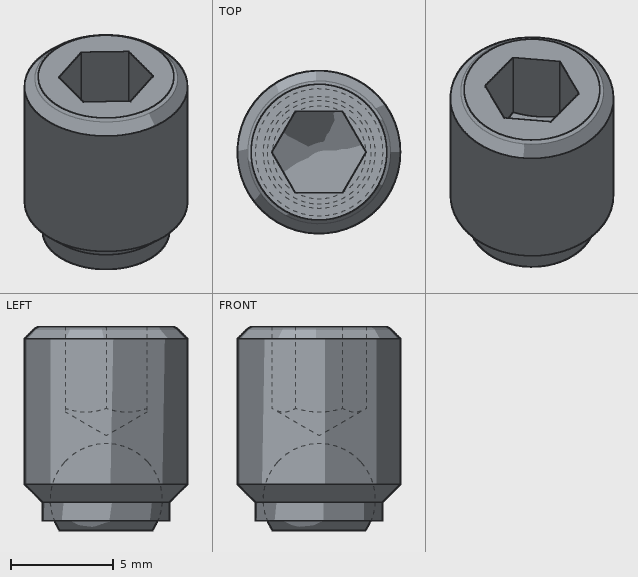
import cadquery as cq
import math

total_height = 10.0
body_radius = 4.0

body_bottom = 0.48
neck_radius = 3.12
neck_height = 0.91
neck_top = body_bottom + neck_height
taper_top = neck_top + (body_radius - neck_radius)

chamfer = 0.5
rim_height = 0.1
rim_angle = 30.0

hex_across_flats = 4.0
hex_corner_radius = hex_across_flats / math.sqrt(3)
hex_depth = 4.0
floor_angle = 120.0
floor_depth = hex_corner_radius / math.tan(math.radians(floor_angle / 2))

ball_radius = 2.75
flat_radius = 2.28
ball_center = math.sqrt(ball_radius**2 - flat_radius**2)


def make_flattened_ball():
    """Ball cut flat at Z = 0."""
    ball_top = ball_center + ball_radius
    return (
        cq.Workplane("XZ")
        .moveTo(0, 0)
        .lineTo(flat_radius, 0)
        .threePointArc((ball_radius, ball_center), (0, ball_top))
        .close()
        .revolve(360, (0, 0, 0), (0, 1, 0))
    )


def make_turned_blank():
    """Solid outline of the screw: neck, taper, shank, chamfer and rim."""
    chamfer_end_radius = body_radius - chamfer
    rim_bottom = total_height - rim_height
    top_face_radius = chamfer_end_radius - rim_height / math.tan(math.radians(rim_angle))
    return (
        cq.Workplane("XZ")
        .moveTo(0, body_bottom)
        .lineTo(neck_radius, body_bottom)
        .lineTo(neck_radius, neck_top)
        .lineTo(body_radius, taper_top)
        .lineTo(body_radius, rim_bottom - chamfer)
        .lineTo(chamfer_end_radius, rim_bottom)
        .lineTo(top_face_radius, total_height)
        .lineTo(0, total_height)
        .close()
        .revolve(360, (0, 0, 0), (0, 1, 0))
    )


def make_hex_socket():
    """Hexagonal hole, corners on X, whose floor is a cone."""
    full_depth = hex_depth + floor_depth
    prism = (
        cq.Workplane("XY")
        .workplane(offset=total_height)
        .polygon(6, 2 * hex_corner_radius)
        .extrude(-full_depth)
    )
    envelope = (
        cq.Workplane("XZ")
        .moveTo(0, total_height - full_depth)
        .lineTo(hex_corner_radius, total_height - hex_depth)
        .lineTo(hex_corner_radius, total_height)
        .lineTo(0, total_height)
        .close()
        .revolve(360, (0, 0, 0), (0, 1, 0))
    )
    return prism.intersect(envelope)


ball = make_flattened_ball()
screw_body = make_turned_blank().cut(make_hex_socket()).cut(ball)

result = cq.Compound.makeCompound([screw_body.val(), ball.val()])